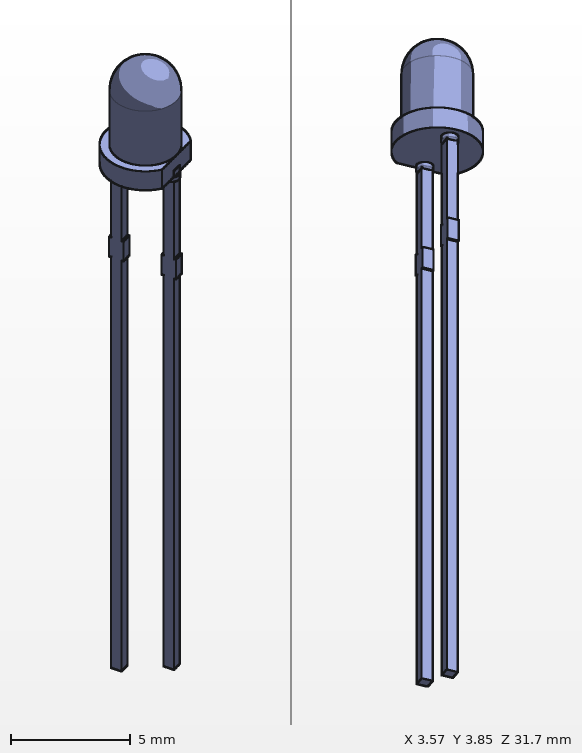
import cadquery as cq

total_height = 31.7

lens_diameter = 3.0
lens_radius = lens_diameter / 2
flange_diameter = 3.85
flange_thickness = 0.98
flange_flat_x = lens_radius
body_height = 5.3
body_bottom = total_height - body_height

lead_pitch = 2.55
lead_width = 0.5
lead_length_difference = 1.0
stop_width = 0.7
stop_bottom = 21.18
stop_height = 1.0

bead_diameter = 0.73
bead_height = 0.3
bead_rounding = 0.1

lead_embed = 0.32


def make_body():
    """Flange with one flat side, carrying a cylindrical lens with a domed end."""
    flange = (
        cq.Workplane("XY", origin=(0, 0, body_bottom))
        .circle(flange_diameter / 2)
        .extrude(flange_thickness)
    )
    beyond_flat = cq.Workplane("XY", origin=(flange_flat_x, 0, body_bottom)).box(
        flange_diameter, flange_diameter, flange_thickness, centered=(False, True, False)
    )
    dome_base = total_height - lens_radius
    lens = (
        cq.Workplane("XZ")
        .moveTo(0, body_bottom)
        .lineTo(lens_radius, body_bottom)
        .lineTo(lens_radius, dome_base)
        .radiusArc((0, total_height), -lens_radius)
        .close()
        .revolve(360, (0, 0, 0), (0, 1, 0))
    )
    return flange.cut(beyond_flat).union(lens)


def make_lead(x, bottom):
    """Square lead with a rectangular stop that is wider along X only."""
    half_lead = lead_width / 2
    half_stop = stop_width / 2
    stop_top = stop_bottom + stop_height
    right_side = [
        (half_lead, bottom),
        (half_lead, stop_bottom),
        (half_stop, stop_bottom),
        (half_stop, stop_top),
        (half_lead, stop_top),
        (half_lead, body_bottom + lead_embed),
    ]
    left_side = [(-half_x, z) for half_x, z in reversed(right_side)]
    return (
        cq.Workplane("XZ", origin=(x, 0, 0))
        .polyline(right_side + left_side)
        .close()
        .extrude(half_lead, both=True)
    )


def make_bead(x):
    """Round bead below the flange, with its lower edge rounded."""
    return (
        cq.Workplane("XY", origin=(x, 0, body_bottom))
        .circle(bead_diameter / 2)
        .extrude(-bead_height)
        .faces("<Z")
        .edges()
        .fillet(bead_rounding)
    )


result = make_body()
for lead_x, lead_bottom in [(-lead_pitch / 2, 0), (lead_pitch / 2, lead_length_difference)]:
    result = result.union(make_lead(lead_x, lead_bottom))
    result = result.union(make_bead(lead_x))